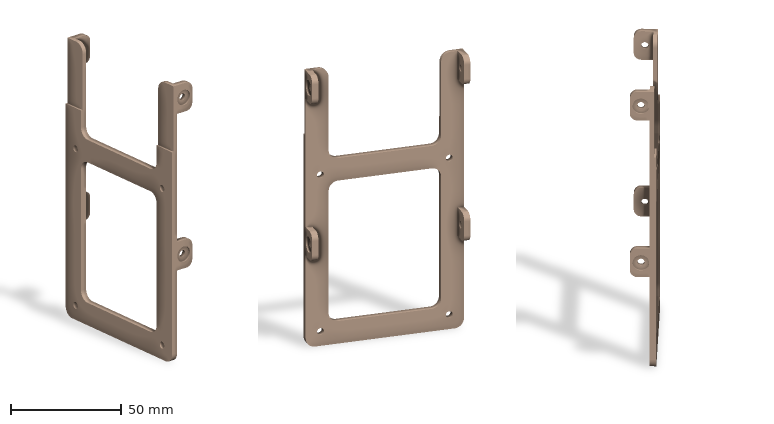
import cadquery as cq

WIDTH = 76.0
DEPTH = 12.0
HEIGHT = 136.0
THICKNESS = 3.0
BORDER = 11.0
CORNER_RADIUS = 4.5
TIP_RADIUS = 4.6

WINDOW_HEIGHT = 69.0
STEP_HEIGHT = 103.9
STEP_DEPTH = 1.0

HOLE_DIAMETER = 3.3
HOLE_INSET = 7.1
HOLE_SPACING = 76.8
COUNTERBORE_DIAMETER = 7.5
COUNTERBORE_DEPTH = 1.0

TAB_HEIGHT = 14.0
TAB_RADIUS = 3.4
TAB_HOLE_INSET = 5.0

MARGIN = 1.4

INNER_WIDTH = WIDTH - 2 * BORDER
NOTCH_BOTTOM = 2 * BORDER + WINDOW_HEIGHT
UPPER_TAB_CENTER = HEIGHT - TAB_HEIGHT / 2
LOWER_TAB_CENTER = UPPER_TAB_CENTER - HOLE_SPACING


def block(width, depth, height, bottom):
    """Box centred on X, standing on the given height."""
    box = cq.Workplane("XY").box(width, depth, height, centered=(True, False, False))
    return box.translate((0, 0, bottom))


def make_frame():
    """Flat plate with a closed window and an open notch between two arms."""
    plate = block(WIDTH, THICKNESS, HEIGHT, 0).edges("|Y and <Z").fillet(CORNER_RADIUS)
    window = block(INNER_WIDTH, THICKNESS, WINDOW_HEIGHT, BORDER)
    window = window.edges("|Y").fillet(CORNER_RADIUS)
    notch = block(INNER_WIDTH, THICKNESS, HEIGHT - NOTCH_BOTTOM, NOTCH_BOTTOM)
    notch = notch.edges("|Y and <Z").fillet(CORNER_RADIUS)
    frame = plate.cut(window).cut(notch)

    arm_tips = cq.selectors.BoxSelector(
        (-INNER_WIDTH / 2 - MARGIN, -MARGIN, HEIGHT - MARGIN),
        (INNER_WIDTH / 2 + MARGIN, THICKNESS + MARGIN, HEIGHT + MARGIN),
    )
    frame = frame.edges("|Y").edges(arm_tips).fillet(TIP_RADIUS)
    return frame.cut(block(WIDTH, STEP_DEPTH, HEIGHT - STEP_HEIGHT, STEP_HEIGHT))


def drill_plate_holes(frame):
    for x in (-WIDTH / 2 + HOLE_INSET, WIDTH / 2 - HOLE_INSET):
        for z in (HOLE_INSET, HOLE_INSET + HOLE_SPACING):
            hole = cq.Workplane("XZ", origin=(x, 0, z)).circle(HOLE_DIAMETER / 2)
            frame = frame.cut(hole.extrude(-THICKNESS))
    return frame


def make_left_tab(center_z):
    """Rearward tab on the -X edge, counterbored from its outer face."""
    tab = cq.Workplane("XY").box(
        THICKNESS, DEPTH - STEP_DEPTH, TAB_HEIGHT, centered=(False, False, True)
    )
    tab = tab.translate((-WIDTH / 2, STEP_DEPTH, center_z))
    tab = tab.edges("|X and >Y").fillet(TAB_RADIUS)
    outer_face = cq.Workplane("YZ", origin=(-WIDTH / 2, DEPTH - TAB_HOLE_INSET, center_z))
    hole = outer_face.circle(HOLE_DIAMETER / 2).extrude(THICKNESS)
    counterbore = outer_face.circle(COUNTERBORE_DIAMETER / 2).extrude(COUNTERBORE_DEPTH)
    return tab.cut(hole).cut(counterbore)


result = drill_plate_holes(make_frame())
for tab_center in (LOWER_TAB_CENTER, UPPER_TAB_CENTER):
    left_tab = make_left_tab(tab_center)
    result = result.union(left_tab).union(left_tab.mirror("YZ"))